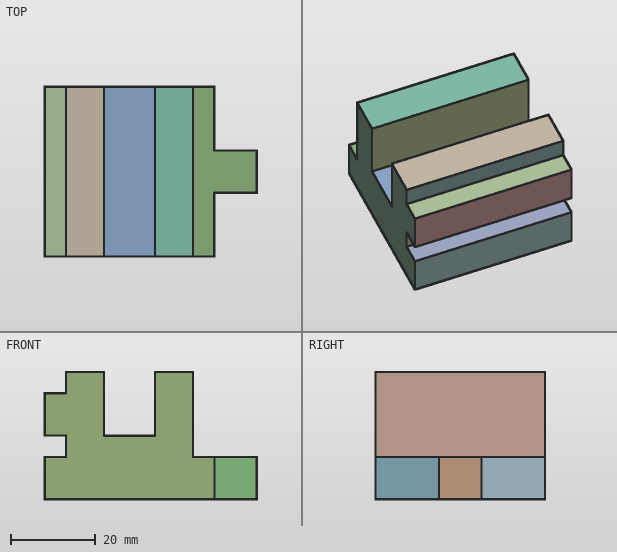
import cadquery as cq

base_length = 40
width = 40
base_height = 10

total_height = 30
body_start = 5
body_end = 35
wall_thickness = 9
channel_floor = 15

rail_bottom = 15
rail_top = 25

tongue_length = 10
tongue_width = 10


def block(x_start, x_end, depth, z_start, z_end):
    """Box centred on Y = 0 between the given X and Z limits."""
    return (
        cq.Workplane("XY")
        .box(x_end - x_start, depth, z_end - z_start, centered=(False, True, False))
        .translate((x_start, 0, z_start))
    )


base = block(0, base_length, width, 0, base_height)
body = block(body_start, body_end, width, base_height, total_height)
rail = block(0, body_start, width, rail_bottom, rail_top)
tongue = block(base_length, base_length + tongue_length, tongue_width, 0, base_height)
channel = block(
    body_start + wall_thickness,
    body_end - wall_thickness,
    width,
    channel_floor,
    total_height,
)

result = base.union(body).union(rail).union(tongue).cut(channel)